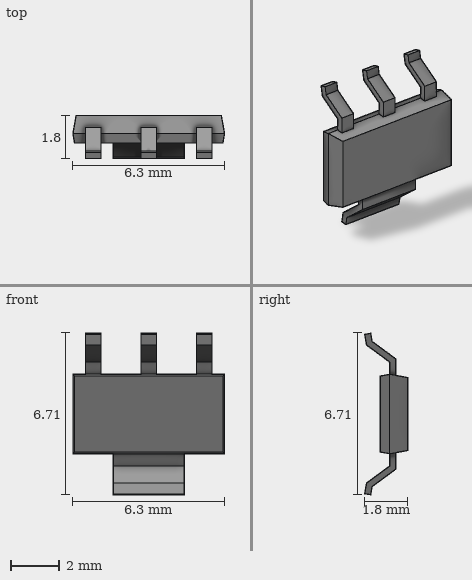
import cadquery as cq
import math

housing_width = 6.3
housing_height = 3.3
back_depth = 0.76
front_depth = 0.39
draft_angle = 10.0

overall_height = 6.71
overall_depth = 1.8
sheet_thickness = 0.26
ramp_angle = 36.4
foot_angle = 10.0
foot_length = 0.35

lead_width = 0.65
lead_pitch = 2.3
lead_count = 3
tab_width = 2.95


def make_half(depth):
    """Drafted block that narrows from the parting plane toward -Y."""
    return cq.Workplane("XZ").rect(housing_width, housing_height).extrude(depth, taper=draft_angle)


def make_housing():
    """Block that tapers from the parting plane to the front and back faces."""
    return make_half(front_depth).union(make_half(back_depth).mirror("XZ"))


def bent_profile():
    """(Y, Z) corners of an upward strip that stands on the drafted back half."""
    draft = math.radians(draft_angle)
    ramp = math.radians(ramp_angle)
    foot = math.radians(foot_angle)
    root_z = housing_height / 2

    tip_front_y = back_depth - overall_depth
    tip_y = tip_front_y + sheet_thickness * math.cos(foot)
    tip_z = overall_height / 2
    foot_y = tip_y + foot_length * math.sin(foot)
    foot_z = tip_z - foot_length * math.cos(foot)
    shank_z = foot_z - (sheet_thickness - foot_y) * math.tan(ramp)

    shank_bend = math.pi / 2 - ramp
    lower_shank_z = shank_z - sheet_thickness * math.tan(shank_bend / 2)
    foot_bend = shank_bend - foot
    miter_length = sheet_thickness / math.cos(foot_bend / 2)
    miter_angle = foot + foot_bend / 2
    lower_foot_y = foot_y - miter_length * math.cos(miter_angle)
    lower_foot_z = foot_z - miter_length * math.sin(miter_angle)

    return [
        (0, root_z),
        (0, lower_shank_z),
        (lower_foot_y, lower_foot_z),
        (tip_front_y, tip_z - sheet_thickness * math.sin(foot)),
        (tip_y, tip_z),
        (foot_y, foot_z),
        (sheet_thickness, shank_z),
        (sheet_thickness, root_z - sheet_thickness * math.tan(draft)),
    ]


def make_strip(width):
    """Bent strip centred on X = 0, rising from the top of the housing."""
    return cq.Workplane("YZ").polyline(bent_profile()).close().extrude(width / 2, both=True)


def make_lead(x):
    return make_strip(lead_width).translate((x, 0, 0))


def make_tab():
    """Wide strip below the housing, a mirror image of the lead profile."""
    return make_strip(tab_width).mirror("XY")


housing = make_housing()
tab = make_tab()
leads = []
for index in range(lead_count):
    lead_x = (index - (lead_count - 1) / 2) * lead_pitch
    leads.append(make_lead(lead_x).val())

result = cq.Compound.makeCompound([housing.val(), tab.val(), *leads])